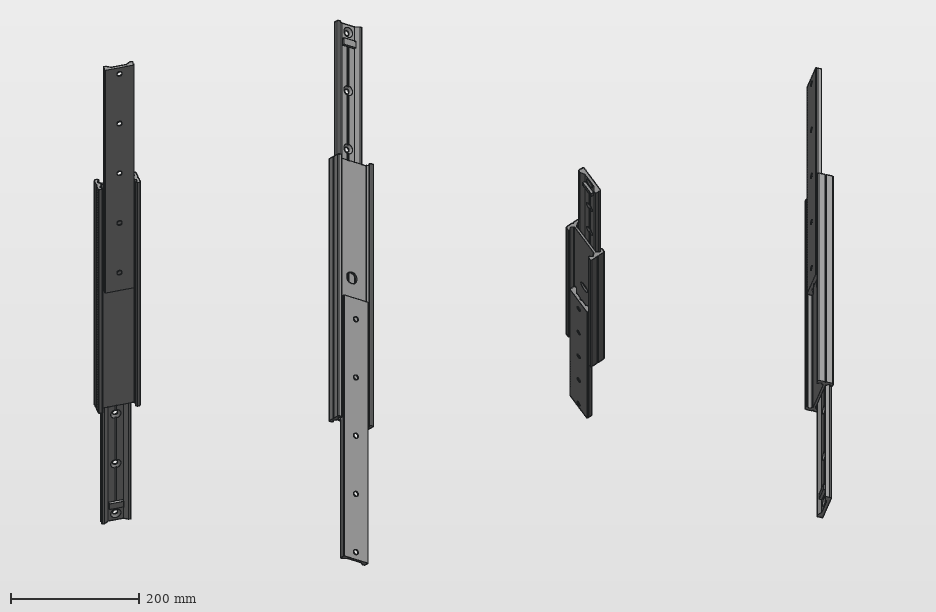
import cadquery as cq


TOTAL_LENGTH = 925.0
DEPTH = 26.0
GUIDE_WIDTH = 68.0
GUIDE_LENGTH = 450.0
RAIL_LENGTH = 448.0
HALF_DEPTH = DEPTH / 2
HALF_LENGTH = TOTAL_LENGTH / 2

WEB_THICKNESS = 4.0
CHANNEL_WIDTH = 54.0
CORNER_BEVEL_WIDTH = 2.3
CORNER_BEVEL_DEPTH = 1.0
LIP_BEVEL_WIDTH = 2.0
LIP_BEVEL_DEPTH = 1.0
RACE_INNER_X = 4.0
RACE_OUTER_X = 10.0
RACE_DEPTH = 3.0
FLANGE_GROOVE_WIDTH = 3.0
FLANGE_GROOVE_DEPTH = 1.0

ACCESS_HOLE_DIAMETER = 19.0
ACCESS_HOLE_Z = 25.0

RAIL_WIDTH = 48.0
RAIL_INNER_X = 3.2
RAIL_FLOOR_X = 7.9
RECESS_MOUTH_WIDTH = 39.0
RECESS_FLOOR_WIDTH = 25.0
RIDGE_HEIGHT = 1.0
RIDGE_TIP_X = 11.6
RIDGE_ROOT_X = 9.0
SIDE_BULGE = 0.65

HOLE_COUNT = 5
HOLE_PITCH = 100.0
HOLE_END_DISTANCE = 13.0
HOLE_DIAMETER = 8.0
COUNTERSINK_DIAMETER = 17.0
COUNTERSINK_ANGLE = 100
STOP_WIDTH = 23.0
STOP_LENGTH = 11.0
STOP_END_DISTANCE = 27.0
CENTRE_GROOVE_WIDTH = 3.0
CENTRE_GROOVE_DEPTH = 1.0


def guide_channel(side):
    """Cutter for the channel on one side (+1 or -1) of the web."""
    half_mouth = CHANNEL_WIDTH / 2
    web_x = side * WEB_THICKNESS / 2
    inner_x = side * RACE_INNER_X
    outer_x = side * RACE_OUTER_X
    bevel_x = side * (HALF_DEPTH - LIP_BEVEL_DEPTH)
    face_x = side * HALF_DEPTH
    race_mid_x = (inner_x + outer_x) / 2
    race_y = half_mouth + RACE_DEPTH
    mouth_y = half_mouth + LIP_BEVEL_WIDTH
    return (
        cq.Workplane("XY")
        .workplane(offset=-GUIDE_LENGTH / 2)
        .moveTo(web_x, -half_mouth)
        .lineTo(web_x, half_mouth)
        .lineTo(inner_x, half_mouth)
        .threePointArc((race_mid_x, race_y), (outer_x, half_mouth))
        .lineTo(bevel_x, half_mouth)
        .lineTo(face_x, mouth_y)
        .lineTo(face_x, -mouth_y)
        .lineTo(bevel_x, -half_mouth)
        .lineTo(outer_x, -half_mouth)
        .threePointArc((race_mid_x, -race_y), (inner_x, -half_mouth))
        .close()
        .extrude(GUIDE_LENGTH)
    )


def flange_groove(side):
    """Cutter for the V groove along the middle of one outer flange face."""
    face_y = side * GUIDE_WIDTH / 2
    return (
        cq.Workplane("XY")
        .workplane(offset=-GUIDE_LENGTH / 2)
        .moveTo(-FLANGE_GROOVE_WIDTH / 2, face_y)
        .lineTo(FLANGE_GROOVE_WIDTH / 2, face_y)
        .lineTo(0, face_y - side * FLANGE_GROOVE_DEPTH)
        .close()
        .extrude(GUIDE_LENGTH)
    )


def guide_bar():
    """Solid bar with bevelled corners that the channels are cut from."""
    half_width = GUIDE_WIDTH / 2
    bevel_x = HALF_DEPTH - CORNER_BEVEL_WIDTH
    bevel_y = half_width - CORNER_BEVEL_DEPTH
    return (
        cq.Workplane("XY")
        .workplane(offset=-GUIDE_LENGTH / 2)
        .moveTo(-bevel_x, half_width)
        .lineTo(bevel_x, half_width)
        .lineTo(HALF_DEPTH, bevel_y)
        .lineTo(HALF_DEPTH, -bevel_y)
        .lineTo(bevel_x, -half_width)
        .lineTo(-bevel_x, -half_width)
        .lineTo(-HALF_DEPTH, -bevel_y)
        .lineTo(-HALF_DEPTH, bevel_y)
        .close()
        .extrude(GUIDE_LENGTH)
    )


def make_guide():
    guide = guide_bar()
    for side in (1, -1):
        guide = guide.cut(guide_channel(side)).cut(flange_groove(side))
    access_hole = (
        cq.Workplane("YZ")
        .center(0, ACCESS_HOLE_Z)
        .circle(ACCESS_HOLE_DIAMETER / 2)
        .extrude(WEB_THICKNESS, both=True)
    )
    return guide.cut(access_hole)


def rail_bar(bottom_z):
    """Plain rail: a shallow channel open toward the web, with ridged, slightly bulging sides."""
    tip_y = RAIL_WIDTH / 2
    side_y = tip_y - RIDGE_HEIGHT
    lip_y = RECESS_MOUTH_WIDTH / 2
    floor_y = RECESS_FLOOR_WIDTH / 2
    bulge_x = (RAIL_INNER_X + RIDGE_ROOT_X) / 2
    bulge_y = side_y + SIDE_BULGE
    return (
        cq.Workplane("XY")
        .workplane(offset=bottom_z)
        .moveTo(HALF_DEPTH, -side_y)
        .lineTo(HALF_DEPTH, side_y)
        .lineTo(RIDGE_TIP_X, tip_y)
        .lineTo(RIDGE_ROOT_X, side_y)
        .threePointArc((bulge_x, bulge_y), (RAIL_INNER_X, side_y))
        .lineTo(RAIL_INNER_X, lip_y)
        .lineTo(RAIL_FLOOR_X, floor_y)
        .lineTo(RAIL_FLOOR_X, -floor_y)
        .lineTo(RAIL_INNER_X, -lip_y)
        .lineTo(RAIL_INNER_X, -side_y)
        .threePointArc((bulge_x, -bulge_y), (RIDGE_ROOT_X, -side_y))
        .lineTo(RIDGE_TIP_X, -tip_y)
        .close()
        .extrude(RAIL_LENGTH)
    )


def centre_groove(bottom_z, top_z):
    """Cutter for the shallow groove along the middle of the rail floor."""
    return (
        cq.Workplane("XY")
        .box(CENTRE_GROOVE_DEPTH, CENTRE_GROOVE_WIDTH, top_z - bottom_z, centered=(False, True, False))
        .translate((RAIL_FLOOR_X, 0, bottom_z))
    )


def stop_block(bottom_z):
    """Block standing on the rail floor, level with the rail lips."""
    height = RAIL_FLOOR_X - RAIL_INNER_X
    return (
        cq.Workplane("XY")
        .box(height, STOP_WIDTH, STOP_LENGTH, centered=(False, True, False))
        .translate((RAIL_INNER_X, 0, bottom_z))
    )


def drill_rail(rail):
    """Row of through holes, countersunk from the recessed side."""
    first_z = HALF_LENGTH - HOLE_END_DISTANCE
    places = [(0, first_z - index * HOLE_PITCH) for index in range(HOLE_COUNT)]
    floor_plane = cq.Plane(origin=(RAIL_FLOOR_X, 0, 0), xDir=(0, -1, 0), normal=(-1, 0, 0))
    return (
        rail.copyWorkplane(cq.Workplane(floor_plane))
        .pushPoints(places)
        .cskHole(HOLE_DIAMETER, COUNTERSINK_DIAMETER, COUNTERSINK_ANGLE)
    )


def make_rail():
    """Rail on the +X side of the web, pulled out upward."""
    bottom_z = HALF_LENGTH - RAIL_LENGTH
    stop_z = HALF_LENGTH - STOP_END_DISTANCE - STOP_LENGTH
    rail = rail_bar(bottom_z)
    rail = rail.cut(centre_groove(bottom_z, stop_z))
    rail = rail.union(stop_block(stop_z))
    return drill_rail(rail)


guide = make_guide()
upper_rail = make_rail()
lower_rail = upper_rail.rotate((0, 0, 0), (0, 1, 0), 180)

result = cq.Compound.makeCompound([guide.val(), upper_rail.val(), lower_rail.val()])